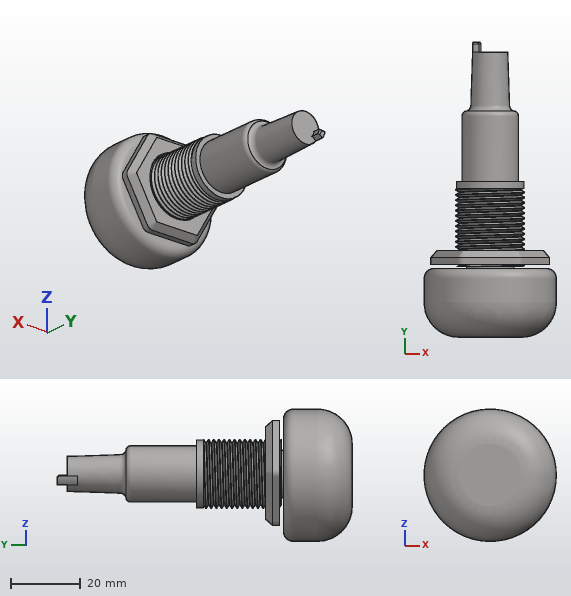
import cadquery as cq
import math

shaft_rise = 0.385
nut_rise = 0.64

cap_diameter = 38.35
nose_diameter = 18.1
cap_length = 20.0
cap_back_fillet = 3.0
dome_radius = (cap_diameter - nose_diameter) / 2

neck_diameter = 13.8
thread_start = 20.5
thread_end = 43.0
thread_turns = 15
thread_major = 20.0
thread_minor = 18.1
thread_crest_angle = 260
collar_diameter = 19.6
collar_end = 45.1
thread_pitch = (thread_end - thread_start) / thread_turns
crest_width = thread_pitch / 8
thread_flank_angle = 30
ridge_sink = 0.2

nut_start = 21.0
nut_thickness = 4.2
nut_across_flats = 30.4
nut_bore_diameter = 20.6
nut_corner_fillet = 2.2
nut_chamfer_length = 2.1
nut_chamfer_depth = 1.9

core_diameter = 16.4
shoulder_start = 64.0
shoulder_fillet = 1.7
shoulder_end = 67.1
tail_base_diameter = 11.3
tail_tip_diameter = 10.25
tail_end = 82.5

overall_length = 85.4
terminal_seat_depth = 3.0
terminal_inner_radius = 6.6 / 2
terminal_top_angle = 6
terminal_bottom_angle = 38
terminal_chamfer = 0.5


def cylinder(diameter, start, end):
    """A cylinder on the Y axis between two stations."""
    return cq.Workplane("XZ", origin=(0, start, 0)).circle(diameter / 2).extrude(start - end)


def make_cap():
    rim = cap_diameter / 2
    nose = nose_diameter / 2
    bend = dome_radius * math.sqrt(0.5)
    profile = (
        cq.Workplane("XY")
        .lineTo(nose, 0)
        .threePointArc((nose + bend, dome_radius - bend), (rim, dome_radius))
        .lineTo(rim, cap_length)
        .lineTo(0, cap_length)
        .close()
    )
    cap = profile.revolve(360, (0, 0, 0), (0, 1, 0))
    return cap.faces(">Y").edges().fillet(cap_back_fillet)


def make_thread_ridge():
    """A helical ridge that overruns the threaded length by one pitch at each end."""
    crest = thread_major / 2
    height = thread_end - thread_start + 2 * thread_pitch
    flank_slope = math.tan(math.radians(thread_flank_angle))
    base = thread_minor / 2 - ridge_sink
    base_half = crest_width / 2 + (crest - base) * flank_slope
    path = cq.Wire.makeHelix(thread_pitch, height, base)
    ridge = (
        cq.Workplane("XZ")
        .moveTo(base, -base_half)
        .lineTo(crest, -crest_width / 2)
        .lineTo(crest, crest_width / 2)
        .lineTo(base, base_half)
        .close()
        .sweep(cq.Workplane(path), isFrenet=True)
    )
    return (
        ridge.rotate((0, 0, 0), (1, 0, 0), -90)
        .translate((0, thread_start - thread_pitch, 0))
        .rotate((0, 0, 0), (0, 1, 0), thread_crest_angle)
    )


def make_bushing():
    core = cylinder(thread_minor, thread_start - 2 * thread_pitch, thread_end + 2 * thread_pitch)
    thread_limits = cylinder(thread_major + 0.85, thread_start, thread_end)
    bushing = (
        core.union(make_thread_ridge())
        .intersect(thread_limits)
        .union(cylinder(neck_diameter, cap_length, thread_start))
        .union(cylinder(collar_diameter, thread_end, collar_end))
    )
    return bushing.translate((0, 0, shaft_rise))


def make_nut():
    across_corners = nut_across_flats / math.cos(math.radians(30))
    nut = (
        cq.Workplane("XZ", origin=(0, nut_start, 0))
        .polygon(6, across_corners)
        .extrude(-nut_thickness)
        .edges("|Y")
        .fillet(nut_corner_fillet)
        .faces(">Y")
        .chamfer(nut_chamfer_length, nut_chamfer_depth)
    )
    bore = cylinder(nut_bore_diameter, nut_start, nut_start + nut_thickness)
    return nut.cut(bore).translate((0, 0, nut_rise))


def ring_sector(outer_radius, start, end):
    """The terminal's cross-section, reaching out to the given radius, between two stations."""
    def corner(radius, angle):
        turn = math.radians(angle)
        return (-radius * math.cos(turn), -radius * math.sin(turn))

    middle_angle = (terminal_top_angle + terminal_bottom_angle) / 2
    return (
        cq.Workplane("XZ", origin=(0, start, 0))
        .moveTo(*corner(terminal_inner_radius, terminal_top_angle))
        .lineTo(*corner(outer_radius, terminal_top_angle))
        .threePointArc(corner(outer_radius, middle_angle), corner(outer_radius, terminal_bottom_angle))
        .lineTo(*corner(terminal_inner_radius, terminal_bottom_angle))
        .threePointArc(
            corner(terminal_inner_radius, middle_angle),
            corner(terminal_inner_radius, terminal_top_angle),
        )
        .close()
        .extrude(start - end)
    )


def make_terminal():
    terminal = ring_sector(tail_tip_diameter / 2, tail_end - terminal_seat_depth, overall_length)
    tip_edges = terminal.faces(">Y").edges(">Z or >X")
    return tip_edges.chamfer(terminal_chamfer).translate((0, 0, shaft_rise))


def make_core():
    cylinder_radius = core_diameter / 2
    base_radius = tail_base_diameter / 2
    tip_radius = tail_tip_diameter / 2
    crease = (base_radius + shoulder_fillet, shoulder_end - shoulder_fillet)
    inset = shoulder_fillet * (1 - math.sqrt(0.5))
    hollow_middle = (base_radius + inset, crease[1] + inset)
    core = (
        cq.Workplane("XY")
        .moveTo(0, collar_end)
        .lineTo(cylinder_radius, collar_end)
        .lineTo(cylinder_radius, shoulder_start)
        .tangentArcPoint(crease, relative=False)
        .threePointArc(hollow_middle, (base_radius, shoulder_end))
        .lineTo(tip_radius, tail_end)
        .lineTo(0, tail_end)
        .close()
        .revolve(360, (0, 0, 0), (0, 1, 0))
    )
    slot = ring_sector(base_radius, tail_end - terminal_seat_depth, tail_end)
    return core.cut(slot).translate((0, 0, shaft_rise))


cap = make_cap()
nut = make_nut()
bushing = make_bushing()
terminal = make_terminal()
core = make_core()

result = cq.Compound.makeCompound([cap.val(), nut.val(), bushing.val(), core.val(), terminal.val()])